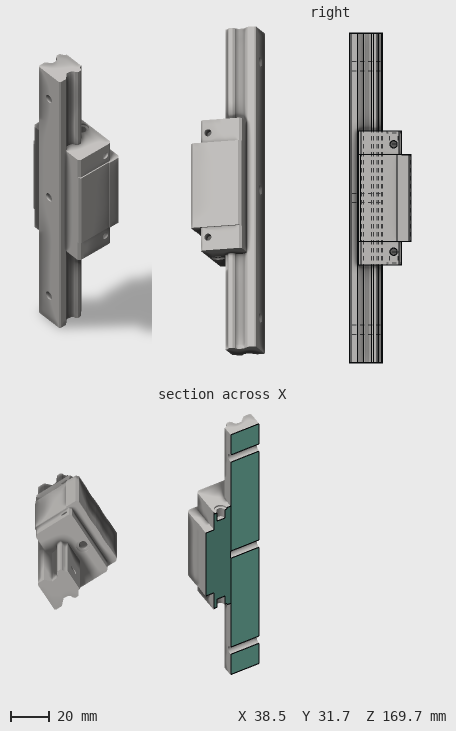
import cadquery as cq
import math

rail_length = 169.7
rail_height = 17.0
rail_half_width = 8.5
rail_base_chamfer = 0.7
foot_side_top = 4.2
neck_half_width = 5.5
neck_top = 8.7
lower_groove_radius = 1.9
lower_groove_bottom = 9.5
lower_groove_inset = 0.2
head_side_bottom = 12.4
head_side_top = 14.3
head_bevel = 0.7
crown_half_width = 5.8
upper_groove_top = 16.5
upper_groove_sag = 0.25

rail_hole_diameter = 4.8
rail_hole_pitch = 67.9

carriage_bottom = 4.8
carriage_top = 31.7
carriage_width = 38.5
block_length = 44.8
block_top_chamfer = 1.2
block_bottom_chamfer = 1.5
datum_step = 0.5
datum_step_height = 24.6
channel_centre = 6.6
channel_width = 9.3
channel_depth = 0.25

carriage_length = 69.0
cap_top = 26.8
cap_width = 36.3
cap_chamfer = 1.2

port_height = 22.7
port_recess_diameter = 7.0
port_recess_depth = 1.0
end_port_diameter = 4.4
end_port_depth = 6.8
side_port_diameter = 3.7
side_port_depth = 5.1
side_port_offset = 27.7


def extrude_centred(sketch, length):
    """Extrude a closed XY outline along Z, half to each side of Z = 0."""
    return sketch.extrude(length / 2, both=True)


def rail_blank(length):
    """Rail profile without screw holes; it also shapes the carriage bore."""
    flare_top = foot_side_top + rail_half_width - neck_half_width
    groove_end = neck_half_width + lower_groove_inset
    groove_edge = groove_end + lower_groove_radius
    groove_top = lower_groove_bottom + lower_groove_radius
    half_chord = lower_groove_radius * math.sqrt(0.5)
    groove_mid = (groove_edge - half_chord, lower_groove_bottom + half_chord)
    half = (
        cq.Workplane("XY")
        .moveTo(0, 0)
        .lineTo(rail_half_width - rail_base_chamfer, 0)
        .lineTo(rail_half_width, rail_base_chamfer)
        .lineTo(rail_half_width, foot_side_top)
        .lineTo(neck_half_width, flare_top)
        .lineTo(neck_half_width, neck_top)
        .lineTo(groove_end, lower_groove_bottom)
        .threePointArc(groove_mid, (groove_edge, groove_top))
        .lineTo(rail_half_width, head_side_bottom)
        .lineTo(rail_half_width, head_side_top)
        .lineTo(rail_half_width - head_bevel, head_side_top + head_bevel)
        .sagittaArc((crown_half_width, upper_groove_top), upper_groove_sag)
        .lineTo(crown_half_width, rail_height)
        .lineTo(0, rail_height)
        .close()
    )
    right_half = extrude_centred(half, length)
    return right_half.union(right_half.mirror("YZ")).clean()


def make_rail():
    rail = rail_blank(rail_length)
    for step in (-1, 0, 1):
        hole = (
            cq.Workplane("XZ", origin=(0, 0, step * rail_hole_pitch))
            .circle(rail_hole_diameter / 2)
            .extrude(-rail_height)
        )
        rail = rail.cut(hole)
    return rail


def chamfered_bar(width, top, length, top_chamfer, bottom_chamfer):
    """Bar along Z standing on the carriage bottom, long edges chamfered."""
    height = top - carriage_bottom
    return (
        cq.Workplane("XY", origin=(0, carriage_bottom + height / 2, 0))
        .box(width, height, length)
        .edges("|Z and >Y").chamfer(top_chamfer)
        .edges("|Z and <Y").chamfer(bottom_chamfer)
    )


def make_block():
    block = chamfered_bar(
        carriage_width, carriage_top, block_length, block_top_chamfer, block_bottom_chamfer
    )
    relief = cq.Workplane("XY").box(
        datum_step, datum_step_height, block_length, centered=(False, False, True)
    ).translate((carriage_width / 2 - datum_step, 0, 0))
    block = block.cut(relief)
    for side in (-1, 1):
        channel = (
            cq.Workplane("XY")
            .moveTo(side * channel_centre - channel_width / 2, carriage_top)
            .sagittaArc((side * channel_centre + channel_width / 2, carriage_top), -channel_depth)
            .close()
        )
        block = block.cut(extrude_centred(channel, block_length))
    return block


def port(plane, origin, diameter, depth):
    """Cylinder sunk from the origin against the plane normal; a negative depth goes along it."""
    return cq.Workplane(plane, origin=origin).circle(diameter / 2).extrude(-depth)


def make_carriage():
    caps = chamfered_bar(cap_width, cap_top, carriage_length, cap_chamfer, cap_chamfer)
    carriage = make_block().union(caps).cut(rail_blank(carriage_length))
    for end in (-1, 1):
        end_face = (0, port_height, end * carriage_length / 2)
        carriage = carriage.cut(port("XY", end_face, port_recess_diameter, end * port_recess_depth))
        carriage = carriage.cut(port("XY", end_face, end_port_diameter, end * end_port_depth))
        for side in (-1, 1):
            flank = (side * cap_width / 2, port_height, end * side_port_offset)
            carriage = carriage.cut(port("YZ", flank, side_port_diameter, side * side_port_depth))
    return carriage


rail = make_rail()
carriage = make_carriage()
result = cq.Compound.makeCompound([rail.val(), carriage.val()])